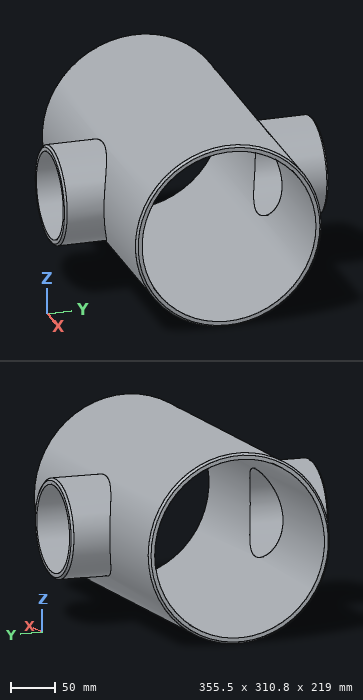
import cadquery as cq

run_length = 355.5
run_diameter = 219.0

branch_span = 310.8
branch_diameter = 115.0

wall = 7.0
bevel = 2.5


def centred_cylinder(plane, diameter, length):
    """Round bar normal to the plane, centred on the origin."""
    return cq.Workplane(plane).workplane(offset=-length / 2).circle(diameter / 2).extrude(length)


def bevelled_bar(plane, diameter, length):
    """Round bar with a weld bevel on the rim of both ends."""
    return centred_cylinder(plane, diameter, length).edges("%CIRCLE").chamfer(bevel)


def bore(plane, diameter, length):
    """Cylinder that hollows a pipe of the given outer diameter from end to end."""
    return centred_cylinder(plane, diameter - 2 * wall, length)


run = bevelled_bar("YZ", run_diameter, run_length)
branches = bevelled_bar("XZ", branch_diameter, branch_span)

result = (
    run.union(branches)
    .cut(bore("YZ", run_diameter, run_length))
    .cut(bore("XZ", branch_diameter, branch_span))
)